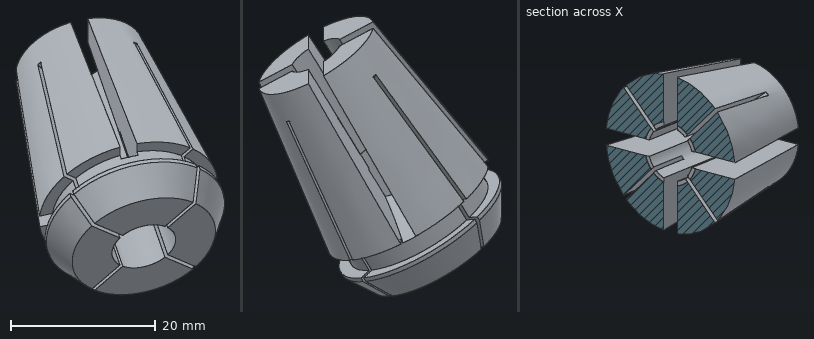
import cadquery as cq
import math

length = 34.0
outer_radius = 12.85
taper_angle = 8.0
taper_end = 25.95
groove_radius = 11.0
flange_start = 29.0
flange_end = 29.6
nose_angle = 30.0

bore_radius = 3.98
relief_radius = 4.6
relief_start = 17.0

slots_per_end = 4
saw_radius = 20.0
wide_slot_width = 2.4
wide_saw_x = 8.55
wide_saw_offset = 19.6
narrow_slot_width = 0.58
narrow_saw_x = 20.4
narrow_saw_offset = 21.55


def make_body():
    small_radius = outer_radius - taper_end * math.tan(math.radians(taper_angle))
    nose_radius = outer_radius - (length - flange_end) * math.tan(math.radians(nose_angle))
    profile = [
        (0, bore_radius),
        (0, small_radius),
        (taper_end, outer_radius),
        (taper_end, groove_radius),
        (flange_start, groove_radius),
        (flange_start, outer_radius),
        (flange_end, outer_radius),
        (length, nose_radius),
        (length, relief_radius),
        (relief_start, relief_radius),
        (relief_start, bore_radius),
    ]
    return cq.Workplane("XY").polyline(profile).close().revolve(360, (0, 0, 0), (1, 0, 0))


def make_slot(width, saw_x, saw_offset, open_end_x):
    """Slot above the axis, from the open end to the arc of a saw centred at saw_x."""
    saw = (
        cq.Workplane("XZ")
        .center(saw_x, saw_offset)
        .circle(saw_radius)
        .extrude(width / 2, both=True)
    )
    run = (
        cq.Workplane("XZ")
        .moveTo(open_end_x, 0)
        .lineTo(saw_x, 0)
        .lineTo(saw_x, saw_offset)
        .lineTo(open_end_x, saw_offset)
        .close()
        .extrude(width / 2, both=True)
    )
    return run.union(saw)


def cut_slots(body, slot, first_angle):
    for index in range(slots_per_end):
        angle = first_angle + index * 360 / slots_per_end
        body = body.cut(slot.rotate((0, 0, 0), (1, 0, 0), angle))
    return body


wide_slot = make_slot(wide_slot_width, wide_saw_x, wide_saw_offset, 0)
narrow_slot = make_slot(narrow_slot_width, narrow_saw_x, narrow_saw_offset, length)

result = cut_slots(make_body(), wide_slot, 0)
result = cut_slots(result, narrow_slot, 180 / slots_per_end)